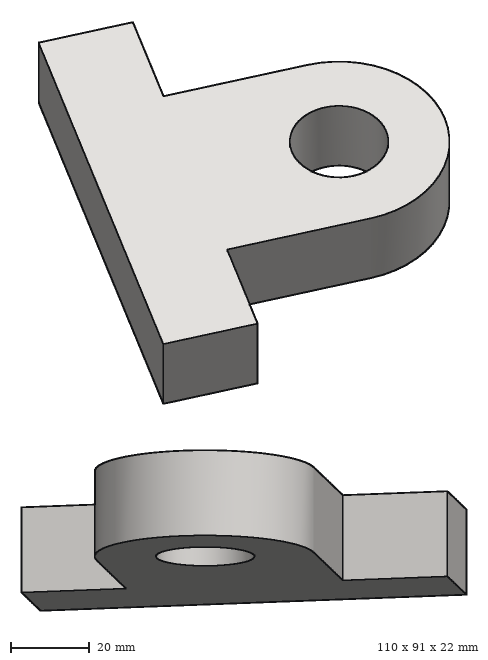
import cadquery as cq

base_length = 110.0
base_depth = 25.0
thickness = 22.0
total_depth = 91.0
lug_width = 56.0
hole_diameter = 25.0

lug_radius = lug_width / 2
hole_center_y = total_depth - lug_radius

base = cq.Workplane("XY").box(base_length, base_depth, thickness, centered=(True, False, False))

lug = (
    cq.Workplane("XY")
    .moveTo(-lug_radius, 0)
    .lineTo(lug_radius, 0)
    .lineTo(lug_radius, hole_center_y)
    .threePointArc((0, total_depth), (-lug_radius, hole_center_y))
    .close()
    .extrude(thickness)
)

pin_hole = cq.Workplane("XY").center(0, hole_center_y).circle(hole_diameter / 2).extrude(thickness)

result = base.union(lug).cut(pin_hole)